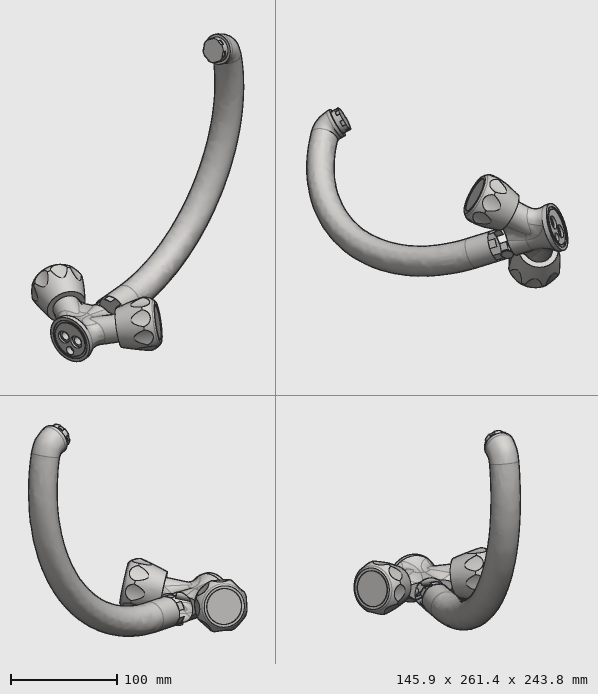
import cadquery as cq
import math

flange_radius = 23.0
flange_thickness = 4.7
core_radius = 14.5
flare_length = 24.0
core_length = 46.5
socket_end = 65.5
joint_fillet = 13.0

seal_groove_inner = 17.5
seal_groove_outer = 19.9
seal_groove_depth = 1.3
inlet_offset = 7.3
inlet_radius = 4.2
inlet_counterbore_radius = 6.3
inlet_counterbore_depth = 2.5
valve_bore_length = 21.0
screw_hole_drop = 12.3
screw_hole_radius = 4.2
screw_hole_depth = 6.5
drill_point_height = 2.4

socket_radius = 14.6
notch_count = 6
notch_width = 8.4
notch_length = 7.3
notch_floor = 14.0
pad_radius = 5.7
pad_reach = 15.2

axes_meet_y = 13.8
handle_angle = 34.5
handle_tilt = 11.0
neck_radius = 13.3
grip_start = 38.5
grip_widest = 65.3
grip_rim = 74.5
grip_end = 76.0
grip_start_radius = 18.8
grip_max_radius = 25.5
grip_rim_radius = 21.5
grip_end_radius = 19.5
cone_bulge = 0.3
shoulder_bulge = 0.8
cap_radius = 17.0
cap_recess = 0.8
scallop_count = 8
scallop_radius = 28.7
scallop_floor = 23.0

arc_start_y = 89.5
arc_radius = 159.1
spout_start_radius = socket_radius
spout_end_width = 14.0
spout_end_depth = 12.5
bend_radius = 15.7
level_start = -90.0
bend_start = 12.8
bend_end = 73.0
collar_radius = 14.5
collar_length = 3.5
tip_radius = 11.8
tip_length = 7.5
tip_notch_count = 6
tip_notch_width = 5.2
tip_notch_length = 3.5
tip_notch_floor = 11.0
arc_steps = 6
bend_steps = 3


def y_cylinder(radius, start, end, x=0.0, z=0.0):
    """Round bar parallel to Y."""
    base = cq.Vector(x, start, z)
    return cq.Workplane(cq.Solid.makeCylinder(radius, end - start, base, cq.Vector(0, 1, 0)))


def handle_plane(side):
    """Plane whose normal is a handle axis; side is -1 or +1 along X."""
    swing = math.radians(handle_angle)
    tilt = math.radians(handle_tilt)
    axis = (
        side * math.cos(tilt) * math.cos(swing),
        math.cos(tilt) * math.sin(swing),
        math.sin(tilt),
    )
    level = (-side * math.sin(swing), math.cos(swing), 0)
    return cq.Plane(origin=(0, axes_meet_y, 0), xDir=level, normal=axis)


def make_core():
    """Flange, concave flare, plain core and the two necks, cut flat at the shoulder."""
    flare_end = flange_thickness + flare_length
    core = (
        cq.Workplane("XY")
        .moveTo(0, socket_end)
        .lineTo(core_radius, socket_end)
        .lineTo(core_radius, flare_end)
        .tangentArcPoint((flange_radius, flange_thickness), relative=False)
        .lineTo(flange_radius, 0)
        .lineTo(0, 0)
        .close()
        .revolve(360, (0, 0), (0, 1))
    )
    for side in (-1, 1):
        core = core.union(cq.Workplane(handle_plane(side)).circle(neck_radius).extrude(grip_start))
    joint_edges = [edge for edge in core.edges().vals() if edge.geomType() == "BSPLINE"]
    core = core.newObject(joint_edges).fillet(joint_fillet)
    return core.cut(y_cylinder(2 * flange_radius, core_length, 2 * core_length))


def make_socket():
    """Plain sleeve with milled flats around its rim and a round pad below."""
    socket = y_cylinder(socket_radius, core_length, socket_end)
    pad_y = core_length + pad_radius
    pad = cq.Workplane("XY", origin=(0, pad_y, 0)).circle(pad_radius).extrude(-pad_reach)
    socket = socket.union(pad)
    notch = cq.Workplane("XY").box(notch_width, notch_length, socket_radius, centered=(True, False, False))
    notch = notch.translate((0, socket_end - notch_length, notch_floor))
    for index in range(notch_count):
        socket = socket.cut(notch.rotate((0, 0, 0), (0, 1, 0), index * 360 / notch_count))
    return socket


def make_grip(side):
    """Flared knob with scallops around its widest part and a shallow recessed cap."""
    plane = handle_plane(side)
    cone_middle = ((grip_start_radius + grip_max_radius) / 2 + cone_bulge, (grip_start + grip_widest) / 2)
    shoulder_middle = ((grip_max_radius + grip_rim_radius) / 2 + shoulder_bulge, (grip_widest + grip_rim) / 2)
    profile_plane = cq.Plane(origin=plane.origin, xDir=plane.xDir, normal=plane.xDir.cross(plane.zDir))
    grip = (
        cq.Workplane(profile_plane)
        .moveTo(0, grip_start)
        .lineTo(grip_start_radius, grip_start)
        .threePointArc(cone_middle, (grip_max_radius, grip_widest))
        .threePointArc(shoulder_middle, (grip_rim_radius, grip_rim))
        .lineTo(grip_end_radius, grip_end)
        .lineTo(cap_radius, grip_end)
        .lineTo(cap_radius, grip_end - cap_recess)
        .lineTo(0, grip_end - cap_recess)
        .close()
        .revolve(360, (0, 0), (0, 1))
    )
    scallop_centre = scallop_floor + scallop_radius
    for index in range(scallop_count):
        angle = 2 * math.pi * index / scallop_count
        scallop = (
            cq.Workplane(plane)
            .center(scallop_centre * math.cos(angle), scallop_centre * math.sin(angle))
            .circle(scallop_radius)
            .extrude(grip_end)
        )
        grip = grip.cut(scallop)
    return grip


def cut_wall_face(body):
    """Seal groove, blind screw hole and the two inlets that run into the valve bores."""
    groove = y_cylinder(seal_groove_outer, 0, seal_groove_depth)
    groove = groove.cut(y_cylinder(seal_groove_inner, 0, seal_groove_depth))
    body = body.cut(groove)

    screw_hole = y_cylinder(screw_hole_radius, 0, screw_hole_depth, z=-screw_hole_drop)
    drill_point = cq.Workplane(
        cq.Solid.makeCone(
            screw_hole_radius, 0, drill_point_height,
            cq.Vector(0, screw_hole_depth, -screw_hole_drop), cq.Vector(0, 1, 0),
        )
    )
    body = body.cut(screw_hole).cut(drill_point)

    for side in (-1, 1):
        x = side * inlet_offset
        bore_start = inlet_offset / math.cos(math.radians(handle_angle)) - inlet_radius
        bore = cq.Workplane(handle_plane(side)).workplane(offset=bore_start).circle(inlet_radius)
        body = body.cut(y_cylinder(inlet_counterbore_radius, 0, inlet_counterbore_depth, x))
        body = body.cut(y_cylinder(inlet_radius, 0, axes_meet_y + inlet_radius, x))
        body = body.cut(bore.extrude(valve_bore_length))
    return body


def make_mixer():
    """Core, socket and both handles as one body."""
    mixer = make_core().union(make_socket())
    for side in (-1, 1):
        mixer = mixer.union(make_grip(side))
    return cut_wall_face(mixer)


def spout_plane(centre, radius, turn):
    """Plane across an arc of the spout; turn is in degrees past the point where it runs upright."""
    cosine = math.cos(math.radians(turn))
    sine = math.sin(math.radians(turn))
    origin = (0, centre[0] + radius * cosine, centre[1] + radius * sine)
    return cq.Plane(origin=origin, xDir=(1, 0, 0), normal=(0, -sine, cosine))


def tapered_arc(centre, radius, turns, start_size, end_size, step_count):
    """Elliptical bar along an arc in the YZ plane; sizes are (half width, half depth)."""
    start_turn, end_turn = turns
    wires = []
    for step in range(step_count + 1):
        share = step / step_count
        turn = start_turn + share * (end_turn - start_turn)
        plane = spout_plane(centre, radius, turn)
        half_width = start_size[0] + share * (end_size[0] - start_size[0])
        half_depth = start_size[1] + share * (end_size[1] - start_size[1])
        wires.append(cq.Workplane(plane).ellipse(half_width, half_depth).wires().val())
    return cq.Workplane(cq.Solid.makeLoft(wires))


def make_tip(outlet):
    """Narrow outlet end with open notches around its rim."""
    nozzle_length = collar_length + tip_length
    tip = cq.Workplane(outlet).circle(tip_radius).extrude(nozzle_length)
    for index in range(tip_notch_count):
        notch = (
            cq.Workplane(outlet)
            .transformed(rotate=(0, 0, (index + 0.5) * 360 / tip_notch_count))
            .workplane(offset=nozzle_length - tip_notch_length)
            .center(0, tip_notch_floor + tip_radius / 2)
            .rect(tip_notch_width, tip_radius)
            .extrude(tip_notch_length)
        )
        tip = tip.cut(notch)
    return tip


def make_spout():
    """Straight start, long tapering arc, tight bend, then the collar and the notched tip."""
    arc_centre = (arc_start_y, arc_radius)
    centre_distance = arc_radius - bend_radius
    bend_centre = (
        arc_centre[0] + centre_distance * math.cos(math.radians(bend_start)),
        arc_centre[1] + centre_distance * math.sin(math.radians(bend_start)),
    )
    round_start = (spout_start_radius, spout_start_radius)
    flattened = (spout_end_width, spout_end_depth)
    round_end = (collar_radius, collar_radius)

    spout = y_cylinder(spout_start_radius, socket_end, arc_start_y)
    spout = spout.union(tapered_arc(
        arc_centre, arc_radius, (level_start, bend_start), round_start, flattened, arc_steps))
    spout = spout.union(tapered_arc(
        bend_centre, bend_radius, (bend_start, bend_end), flattened, round_end, bend_steps))
    outlet = spout_plane(bend_centre, bend_radius, bend_end)
    spout = spout.union(cq.Workplane(outlet).circle(collar_radius).extrude(collar_length))
    return spout.union(make_tip(outlet))


mixer = make_mixer()
spout = make_spout()

result = cq.Compound.makeCompound([mixer.solids().val(), spout.solids().val()])